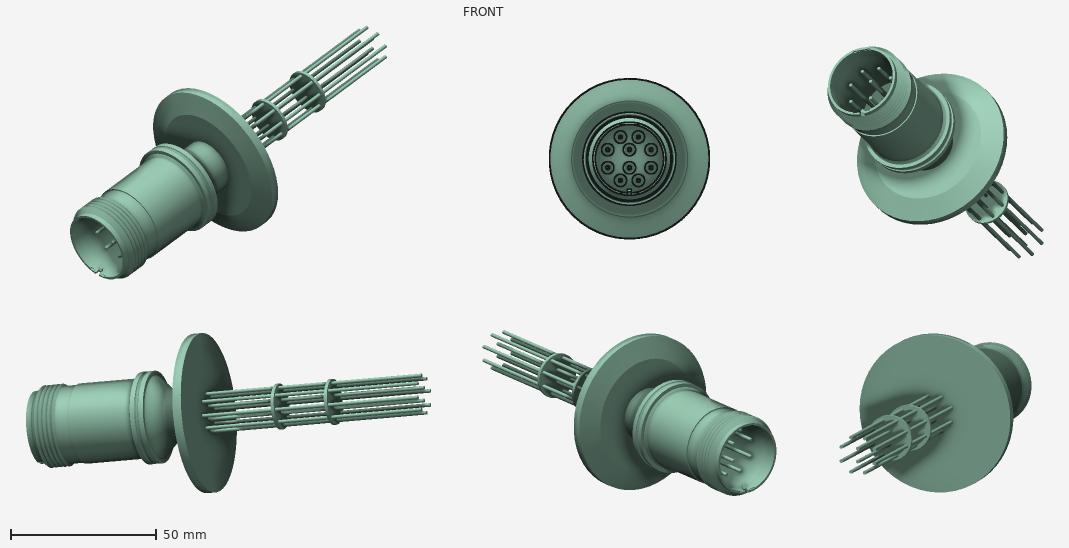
import cadquery as cq
import math

total_length = 141.5

lip_radius = 12.6
lip_length = 1.8
thread_crest_radius = 14.3
thread_count = 5
thread_span = 6.5
thread_pitch = thread_span / (thread_count - 1)
first_crest_y = lip_length + thread_crest_radius - lip_radius
neck_radius = 13.5
neck_end_y = 16.3

barrel_radius = 13.9
barrel_end_y = 38.5
collar_radius = 16.0
collar_start_y = 39.3
collar_end_y = 44.1
collar_chamfer = collar_start_y - barrel_end_y
groove_radius = 0.7
collar_middle_y = (collar_start_y + collar_end_y) / 2

cone_radius = 14.5
tube_radius = 9.5
weld_length = 0.5
weld_height = 0.3
cone_end_y = 49.1
flange_radius = 55.0 / 2
flange_face_radius = 20.0
flange_front_y = 57.2
flange_rim_y = 59.3
flange_back_y = 62.4

socket_radius = 11.7
socket_depth = 28.3
relief_width = 6.4
relief_depth = 0.7
key_width = 1.4
key_notch_length = 1.7
key_length = 2.1
key_inner_radius = 10.5
key_tip_radius = 11.3
key_tip_y = 1.1

ring_count = 8
half_step = 180 / ring_count
pin_radius = 0.64
pin_tip_y = 7.6
pin_tip_chamfer = 0.21
pin_ring_radius = 8.0
pin_center_offset = 3.1
bead_radius = 2.1
bead_height = 0.7
wire_ring_radius = 6.5
wire_center_offset = 2.3
stub_radius = 0.61
stub_length = 2.0
stub_end_y = flange_back_y + stub_length

spacer_radius = 7.9
spacer_thickness = 1.1
spacer_positions = (88.5, 108.1)


def cylinder(radius, y_start, y_end, x=0.0, z=0.0):
    """Solid cylinder along Y."""
    direction = cq.Vector(0, 1, 0)
    solid = cq.Solid.makeCylinder(radius, y_end - y_start, cq.Vector(x, y_start, z), direction)
    return cq.Workplane(obj=solid)


def contact_layout(ring_radius, center_offset):
    """(ring points, center points) as x, z pairs: a ring around two central contacts."""
    angles = [math.radians(half_step + 360 / ring_count * i) for i in range(ring_count)]
    ring = [(ring_radius * math.cos(a), ring_radius * math.sin(a)) for a in angles]
    center = [(0, center_offset), (0, -center_offset)]
    return ring, center


def thread_profile():
    """Radius and y of sharp ring threads, from the lead-in crest to the neck."""
    points = []
    for i in range(thread_count):
        crest_y = first_crest_y + i * thread_pitch
        points.append((thread_crest_radius, crest_y))
        points.append((neck_radius, crest_y + thread_pitch / 2))
    return points


def shell_body():
    """Turned body from the plug lip to the back of the flange."""
    profile = [(0, 0), (lip_radius, 0), (lip_radius, lip_length)]
    profile += thread_profile()
    profile += [
        (neck_radius, neck_end_y),
        (barrel_radius, neck_end_y),
        (barrel_radius, barrel_end_y),
        (barrel_radius + collar_chamfer, collar_start_y),
        (collar_radius, collar_start_y),
        (collar_radius, collar_end_y),
        (cone_radius, collar_end_y),
        (tube_radius + weld_height, cone_end_y),
        (tube_radius, cone_end_y + weld_length),
        (tube_radius, flange_front_y),
        (flange_face_radius, flange_front_y),
        (flange_radius, flange_rim_y),
        (flange_radius, flange_back_y),
        (0, flange_back_y),
    ]
    body = cq.Workplane("XY").polyline(profile).close().revolve(360, (0, 0, 0), (0, 1, 0))
    groove_center = cq.Vector(0, collar_middle_y, 0)
    groove = cq.Solid.makeTorus(collar_radius, groove_radius, groove_center, cq.Vector(0, 1, 0))
    return body.cut(cq.Workplane(obj=groove))


def cut_socket(body):
    """Bore the socket, with flat reliefs top and bottom and a key notch through the lip."""
    body = body.cut(cylinder(socket_radius, 0, socket_depth))
    relief = cq.Workplane("XY").box(relief_width, relief_depth, 2 * socket_radius, centered=(True, False, True))
    notch_height = thread_crest_radius - key_tip_radius
    notch = cq.Workplane("XY").box(key_width, key_notch_length, notch_height, centered=(True, False, False))
    notch = notch.translate((0, 0, -key_tip_radius - notch_height))
    return body.cut(relief).cut(notch)


def key():
    """Wedge key that points forward over the closed end of the notch."""
    profile = [
        (key_tip_y, -key_tip_radius),
        (key_notch_length, -key_inner_radius),
        (key_length, -key_inner_radius),
        (key_length, -lip_radius),
        (key_notch_length, -lip_radius),
    ]
    return cq.Workplane("YZ").polyline(profile).close().extrude(key_width / 2, both=True)


def pins():
    """Contact pins standing on insulator beads on the socket floor."""
    ring, center = contact_layout(pin_ring_radius, pin_center_offset)
    group = cq.Workplane("XY")
    for x, z in ring + center:
        group = group.add(cylinder(bead_radius, socket_depth - bead_height, socket_depth, x, z))
        pin = cylinder(pin_radius, pin_tip_y, socket_depth, x, z).faces("<Y").chamfer(pin_tip_chamfer)
        group = group.add(pin)
    return group


def wires():
    """Lead wires behind the flange; the ring wires start as thinner stubs."""
    ring, center = contact_layout(wire_ring_radius, wire_center_offset)
    group = cq.Workplane("XY")
    for x, z in ring:
        group = group.add(cylinder(stub_radius, flange_back_y, stub_end_y, x, z))
        group = group.add(cylinder(pin_radius, stub_end_y, total_length, x, z))
    for x, z in center:
        group = group.add(cylinder(pin_radius, flange_back_y, total_length, x, z))
    return group


def spacers():
    """Thin discs that hold the wires apart."""
    group = cq.Workplane("XY")
    for y in spacer_positions:
        group = group.add(cylinder(spacer_radius, y - spacer_thickness / 2, y + spacer_thickness / 2))
    return group


result = cut_socket(shell_body()).union(key())
for parts in (pins(), wires(), spacers()):
    for piece in parts.vals():
        result = result.union(cq.Workplane(obj=piece))